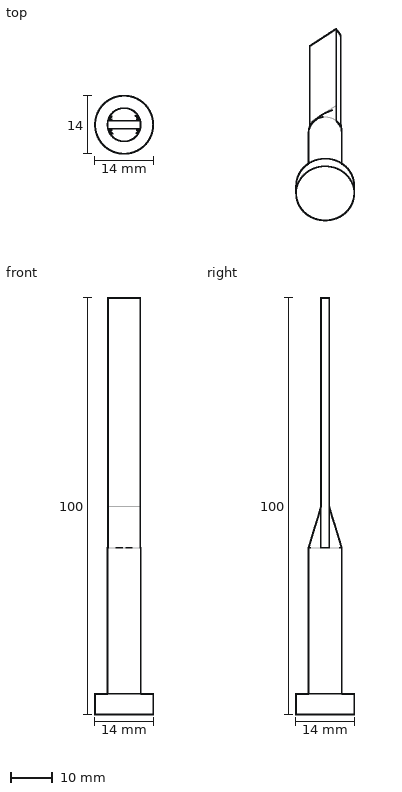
import cadquery as cq
import math

total_length = 100.0
head_diameter = 14.0
head_thickness = 5.0
shank_diameter = 8.0
shank_top = 40.0
blade_length = 50.0
blade_thickness = 2.0

shank_radius = shank_diameter / 2
half_thickness = blade_thickness / 2
half_width = math.sqrt(shank_radius**2 - half_thickness**2)
blade_width = 2 * half_width
blade_bottom = total_length - blade_length
transition_height = blade_bottom - shank_top

head = cq.Workplane("XY").circle(head_diameter / 2).extrude(head_thickness)
shank = cq.Workplane("XY").circle(shank_radius).extrude(shank_top)

transition = (
    cq.Workplane("XY", origin=(0, 0, shank_top))
    .moveTo(-half_width, -half_thickness)
    .threePointArc((0, -shank_radius), (half_width, -half_thickness))
    .lineTo(half_width, half_thickness)
    .threePointArc((0, shank_radius), (-half_width, half_thickness))
    .close()
    .workplane(offset=transition_height)
    .moveTo(-half_width, -half_thickness)
    .lineTo(half_width, -half_thickness)
    .lineTo(half_width, half_thickness)
    .lineTo(-half_width, half_thickness)
    .close()
    .loft(ruled=True)
)

blade = (
    cq.Workplane("XY", origin=(0, 0, blade_bottom))
    .rect(blade_width, blade_thickness)
    .extrude(blade_length)
)

result = head.union(shank).union(transition).union(blade)